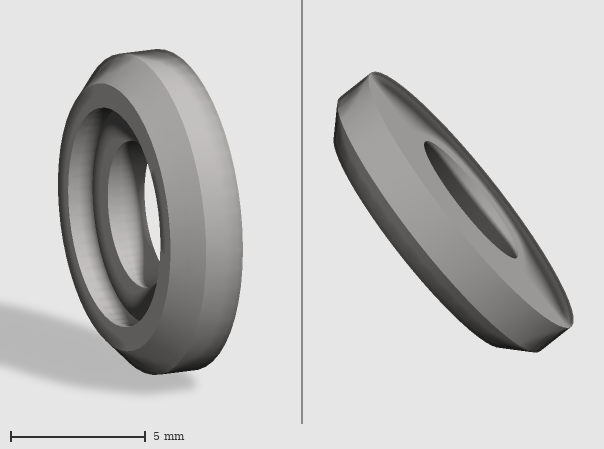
import cadquery as cq

outer_diameter = 12.0
thickness = 2.5
chamfer_size = 1.0
hole_diameter = 5.5
recess_diameter = 8.2
recess_depth = 1.0

disc = (
    cq.Workplane("XZ", origin=(0, thickness / 2, 0))
    .circle(outer_diameter / 2)
    .extrude(thickness)
)

result = (
    disc.faces("<Y")
    .chamfer(chamfer_size)
    .faces("<Y")
    .workplane(origin=(0, 0, 0))
    .cboreHole(hole_diameter, recess_diameter, recess_depth)
)